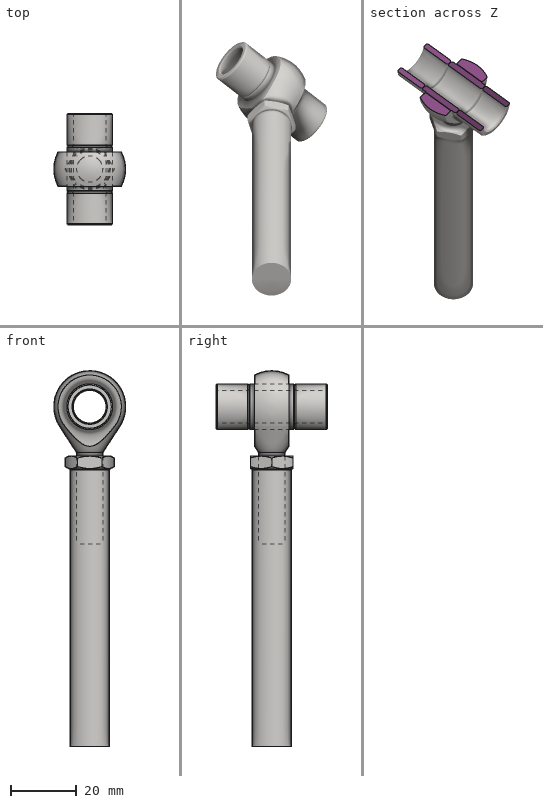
import cadquery as cq
import math


eye_radius = 11.0
eye_width = 10.5
cone_start_depth = 6.0
stud_radius = 4.0
stud_end_depth = 42.0

ring_diameter = 14.0
ring_width = 14.0
bore_diameter = 10.0
sleeve_length = 10.0
ring_chamfer = 0.4

nut_across_flats = 13.0
nut_thickness = 4.0
nut_top_depth = 15.0
nut_face_diameter = 12.6
nut_chamfer_angle = math.radians(30)

rod_diameter = 12.0
rod_end_depth = 103.78
rod_chamfer = 0.4

nut_bottom_depth = nut_top_depth + nut_thickness
rod_top_depth = nut_bottom_depth
rod_length = rod_end_depth - rod_top_depth
nut_across_corners = nut_across_flats / math.cos(math.radians(30))
cone_start_radius = math.sqrt(eye_radius**2 - cone_start_depth**2)
cone_slope = cone_start_depth / cone_start_radius
cone_end_depth = cone_start_depth + (cone_start_radius - stud_radius) / cone_slope


def cylinder_along_y(diameter, length, y_start):
    """Cylinder on the pin axis that runs from y_start toward +Y."""
    return cq.Workplane("XZ", origin=(0, y_start, 0)).circle(diameter / 2).extrude(-length)


def make_rod_end():
    """Sphere with a tangent neck cone, cut flat on both sides, on a plain stud."""
    body = (
        cq.Workplane("XZ")
        .moveTo(0, eye_radius)
        .threePointArc((eye_radius, 0), (cone_start_radius, -cone_start_depth))
        .lineTo(stud_radius, -cone_end_depth)
        .lineTo(stud_radius, -stud_end_depth)
        .lineTo(0, -stud_end_depth)
        .close()
        .revolve(360, (0, 0), (0, 1))
    )
    slab_length = 4 * eye_radius
    slab_height = 2 * stud_end_depth + eye_radius
    slab = cq.Workplane("XY").box(slab_length, eye_width, slab_height)
    ring_hole = cylinder_along_y(ring_diameter, eye_width, -eye_width / 2)
    return body.intersect(slab).cut(ring_hole)


def make_ring(length, y_start):
    """Bored ring on the pin axis with all four end edges chamfered."""
    outer = cylinder_along_y(ring_diameter, length, y_start)
    bore = cylinder_along_y(bore_diameter, length, y_start)
    return outer.cut(bore).edges("%CIRCLE").chamfer(ring_chamfer)


def make_lock_nut():
    """Hexagon with corners on the X axis, both faces bevelled by a cone."""
    corner_radius = nut_across_corners / 2
    face_radius = nut_face_diameter / 2
    bevel_height = (corner_radius - face_radius) * math.tan(nut_chamfer_angle)
    hexagon = (
        cq.Workplane("XY", origin=(0, 0, -nut_bottom_depth))
        .polygon(6, nut_across_corners)
        .circle(stud_radius)
        .extrude(nut_thickness)
    )
    bevel_envelope = (
        cq.Workplane("XZ")
        .moveTo(0, -nut_top_depth)
        .lineTo(face_radius, -nut_top_depth)
        .lineTo(corner_radius, -nut_top_depth - bevel_height)
        .lineTo(corner_radius, -nut_bottom_depth + bevel_height)
        .lineTo(face_radius, -nut_bottom_depth)
        .lineTo(0, -nut_bottom_depth)
        .close()
        .revolve(360, (0, 0), (0, 1))
    )
    return hexagon.intersect(bevel_envelope)


def make_rod():
    """Round rod with a chamfered upper end and a blind hole that takes the stud."""
    rod = (
        cq.Workplane("XY", origin=(0, 0, -rod_top_depth))
        .circle(rod_diameter / 2)
        .extrude(-rod_length)
        .faces(">Z")
        .edges()
        .chamfer(rod_chamfer)
    )
    stud_hole = (
        cq.Workplane("XY", origin=(0, 0, -rod_top_depth))
        .circle(stud_radius)
        .extrude(rod_top_depth - stud_end_depth)
    )
    return rod.cut(stud_hole)


rod_end = make_rod_end()
bearing_ring = make_ring(ring_width, -ring_width / 2)
sleeves = [
    make_ring(sleeve_length, y_start)
    for y_start in (-ring_width / 2 - sleeve_length, ring_width / 2)
]
lock_nut = make_lock_nut()
rod = make_rod()

result = cq.Compound.makeCompound(
    [
        rod_end.val(),
        bearing_ring.val(),
        *[sleeve.val() for sleeve in sleeves],
        lock_nut.val(),
        rod.val(),
    ]
)